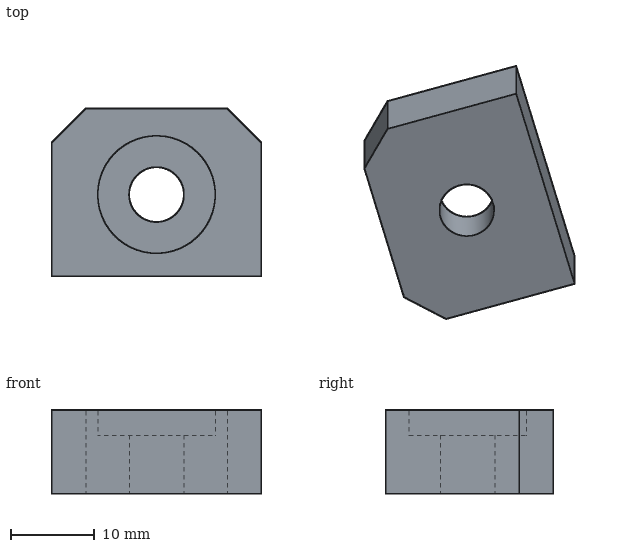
import cadquery as cq

width = 25
depth = 20
height = 10
corner_cut = 4.05

hole_diameter = 6.5
counterbore_diameter = 14
counterbore_depth = 3
hole_from_front = 9.75

block = (
    cq.Workplane("XY")
    .box(width, depth, height, centered=(True, False, False))
    .edges("|Z and >Y")
    .chamfer(corner_cut)
)

result = (
    block.faces(">Z")
    .workplane(origin=(0, hole_from_front, height))
    .cboreHole(hole_diameter, counterbore_diameter, counterbore_depth)
)